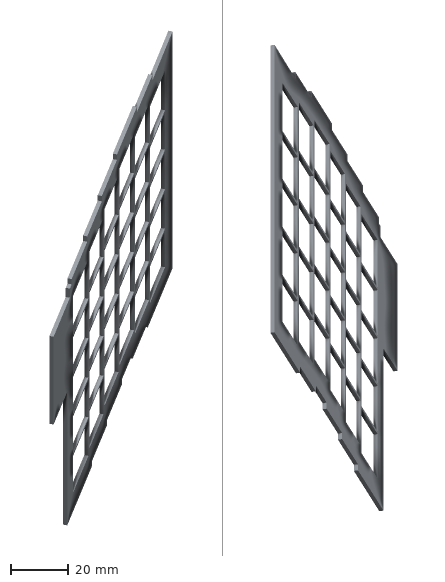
import cadquery as cq

thickness = 1.5
length = 150.8
height = 121.0
y_max = length / 2
y_min = -y_max
z_max = height / 2
z_min = -z_max

upper_step_height = 2.5
lower_step_height = 2.4

tab_drop = 14.6
tab_height = 42.2
tab_top = z_max - tab_drop
tab_bottom = tab_top - tab_height
body_end = -58.0

upper_steps = [49.9, 30.3, 5.0, -14.2, -32.7, -52.5]
upper_drops = [2, 1, 0, 1, 2, 3, 4]
lower_steps = [44.0, 24.9, 11.5, -7.4, -26.8]
lower_rises = [1, 2, 3, 2, 1, 0]
shoulder_end = -54.7

rim_kink = 72.7
rim_kink_rise = 0.3

columns = [
    (65.7, 47.0, 5.3),
    (45.5, 27.6, 2.7),
    (26.5, 8.0, 0.0),
    (7.0, -10.9, 2.3),
    (-12.0, -30.0, 5.3),
    (-31.2, -51.0, 7.8),
]
row_count = 5
row_pitch = 19.0
window_height = 18.1
top_row_extra = 0.9
bottom_row_cut = 0.5
top_margin = 9.6
highest_window_top = z_max - top_margin


def upper_level(steps_down):
    return z_max - steps_down * upper_step_height


def lower_level(steps_up):
    return z_min + steps_up * lower_step_height


def stepped_edge(start_y, step_ys, levels):
    """Corner points of a staircase running from start_y through each step."""
    points = [(start_y, levels[0])]
    for y, before, after in zip(step_ys, levels, levels[1:]):
        points += [(y, before), (y, after)]
    return points


def make_plate():
    upper_levels = [upper_level(n) for n in upper_drops]
    lower_levels = [lower_level(n) for n in lower_rises]
    outline = stepped_edge(y_max, upper_steps, upper_levels)
    kink_level = upper_levels[0] + rim_kink_rise
    outline[:1] = [(y_max, kink_level), (rim_kink, kink_level)]
    outline += [
        (shoulder_end, upper_levels[-1]),
        (shoulder_end, tab_top),
        (y_min, tab_top),
        (y_min, tab_bottom),
        (body_end, tab_bottom),
        (body_end, z_min),
    ]
    outline += reversed(stepped_edge(y_max, lower_steps, lower_levels))
    plate = cq.Workplane("YZ").polyline(outline).close().extrude(thickness)
    return plate.translate((-thickness / 2, 0, 0))


def make_window(y_left, y_right, z_top, z_bottom):
    return (
        cq.Workplane("YZ")
        .center((y_left + y_right) / 2, (z_top + z_bottom) / 2)
        .rect(y_left - y_right, z_top - z_bottom)
        .extrude(thickness, both=True)
    )


def cut_windows(plate):
    for y_left, y_right, drop in columns:
        column_top = highest_window_top - drop
        for row in range(row_count):
            z_top = column_top - top_row_extra - row * row_pitch
            z_bottom = z_top - window_height
            if row == 0:
                z_top = column_top
            if row == row_count - 1:
                z_bottom += bottom_row_cut
            plate = plate.cut(make_window(y_left, y_right, z_top, z_bottom))
    return plate


result = cut_windows(make_plate())